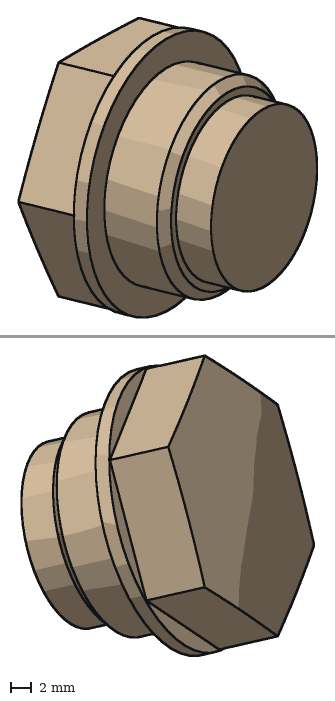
import cadquery as cq
import math

flange_diameter = 28.0
flange_thickness = 1.5
hex_across_flats = 24.02
head_height = 7.5
cone_height = 1.05
body_diameter = 22.0
body_length = 7.0
body_chamfer = 0.98
spigot_diameter = 18.3
spigot_length = 4.0

hex_across_corners = hex_across_flats / math.cos(math.pi / 6)

flange_start = head_height
body_start = flange_start + flange_thickness
spigot_start = body_start + body_length


def disc(start, diameter, length):
    """Cylinder about the X axis, growing toward +X."""
    return cq.Workplane("YZ", origin=(start, 0, 0)).circle(diameter / 2).extrude(length)


def hex_head():
    """Hexagon with corners on the Y axis and a shallow conical end face."""
    prism = cq.Workplane("YZ").polygon(6, hex_across_corners).extrude(head_height)
    corner_radius = hex_across_corners / 2
    cone_envelope = (
        cq.Workplane("XY")
        .moveTo(0, 0)
        .lineTo(cone_height, corner_radius)
        .lineTo(head_height, corner_radius)
        .lineTo(head_height, 0)
        .close()
        .revolve(360, (0, 0, 0), (1, 0, 0))
    )
    return prism.intersect(cone_envelope)


flange = disc(flange_start, flange_diameter, flange_thickness)
body = disc(body_start, body_diameter, body_length).faces(">X").chamfer(body_chamfer)
spigot = disc(spigot_start, spigot_diameter, spigot_length)

result = hex_head().union(flange).union(body).union(spigot)